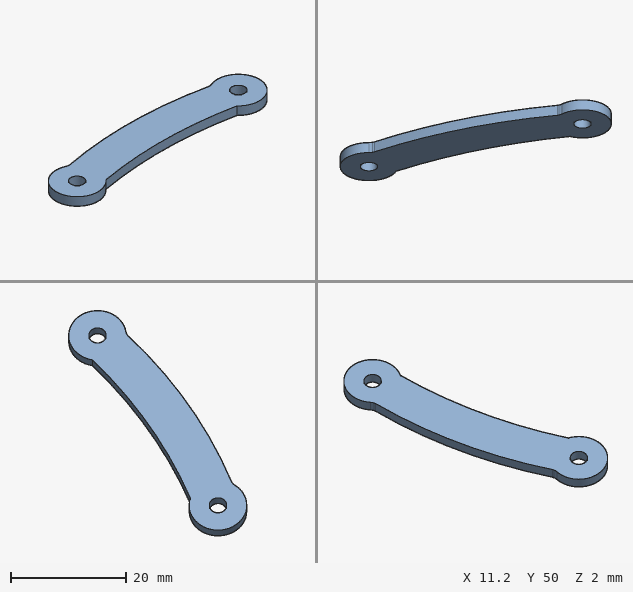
import cadquery as cq
import math

hole_spacing = 40.0
eye_radius = 5.0
hole_diameter = 3.0
thickness = 2.0
band_width = 8.0
band_bulge = 6.2
edge_radius = 87.0
neck_fillet = 1.6
flat_half_length = 17.15

eye_centers = [(0, -hole_spacing / 2), (0, hole_spacing / 2)]


def edge_x(mid_x, y):
    """X at height y of the band edge that crosses the X axis at mid_x."""
    return mid_x + edge_radius - math.sqrt(edge_radius**2 - y**2)


def make_band():
    """Curved strip that ends inside the two eyes."""
    outer_mid_x = -band_bulge
    inner_mid_x = band_width - band_bulge
    end_y = hole_spacing / 2
    flat_x = edge_x(outer_mid_x, flat_half_length)
    inner_end_x = edge_x(inner_mid_x, end_y)
    return (
        cq.Workplane("XY")
        .moveTo(flat_x, -flat_half_length)
        .threePointArc((outer_mid_x, 0), (flat_x, flat_half_length))
        .lineTo(flat_x, end_y)
        .lineTo(inner_end_x, end_y)
        .threePointArc((inner_mid_x, 0), (inner_end_x, -end_y))
        .lineTo(flat_x, -end_y)
        .close()
        .extrude(thickness)
    )


eyes = cq.Workplane("XY").pushPoints(eye_centers).circle(eye_radius).extrude(thickness)
holes = cq.Workplane("XY").pushPoints(eye_centers).circle(hole_diameter / 2).extrude(thickness)

body = make_band().union(eyes)

neck_x = edge_x(-band_bulge, flat_half_length)
neck_y = hole_spacing / 2 - math.sqrt(eye_radius**2 - neck_x**2)
for side in (-1, 1):
    neck_edge = cq.selectors.NearestToPointSelector((neck_x, side * neck_y, thickness / 2))
    body = body.edges("|Z").edges(neck_edge).fillet(neck_fillet)

result = body.cut(holes)